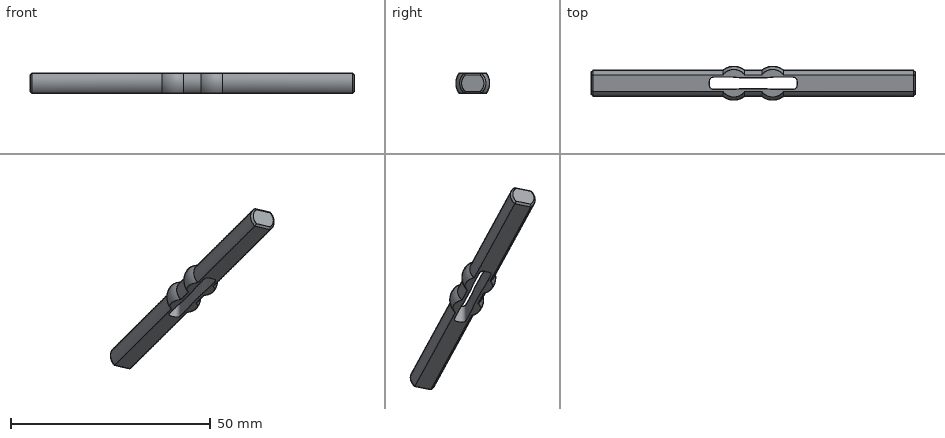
import cadquery as cq

LENGTH = 81.25
BAR_DIAMETER = 6.6
THICKNESS = 5.0
END_CHAMFER = 0.5

BALL_DIAMETER = 8.5
BALL_SPACING = 9.75

SLOT_LENGTH = 21.9
SLOT_WIDTH = 3.0
SLOT_CORNER_RADIUS = 1.0
WAIST_WIDTH = 2.7
WAIST_LENGTH = 6.0
WAIST_TAPER_LENGTH = 2.0


def flat_layer():
    """Slab that cuts the round shapes down to the flat top and bottom."""
    return cq.Workplane("XY").box(LENGTH, BALL_DIAMETER, THICKNESS)


def bar():
    round_bar = cq.Workplane("YZ").circle(BAR_DIAMETER / 2).extrude(LENGTH / 2, both=True)
    return round_bar.intersect(flat_layer()).faces("<X or >X").chamfer(END_CHAMFER)


def ball(x):
    sphere = cq.Workplane("XY").sphere(BALL_DIAMETER / 2).translate((x, 0, 0))
    return sphere.intersect(flat_layer())


def slot():
    end_x = SLOT_LENGTH / 2
    wide_y = SLOT_WIDTH / 2
    waist_x = WAIST_LENGTH / 2
    waist_y = WAIST_WIDTH / 2
    taper_x = waist_x + WAIST_TAPER_LENGTH
    far_side = [
        (end_x, wide_y),
        (taper_x, wide_y),
        (waist_x, waist_y),
        (-waist_x, waist_y),
        (-taper_x, wide_y),
        (-end_x, wide_y),
    ]
    near_side = [(-x, -y) for x, y in far_side]
    cutter = cq.Workplane("XY").polyline(far_side + near_side).close().extrude(THICKNESS / 2, both=True)
    end_corners = cutter.faces("<X or >X").edges("|Z")
    return end_corners.fillet(SLOT_CORNER_RADIUS)


result = bar()
for side in (-1, 1):
    result = result.union(ball(side * BALL_SPACING / 2))
result = result.cut(slot())